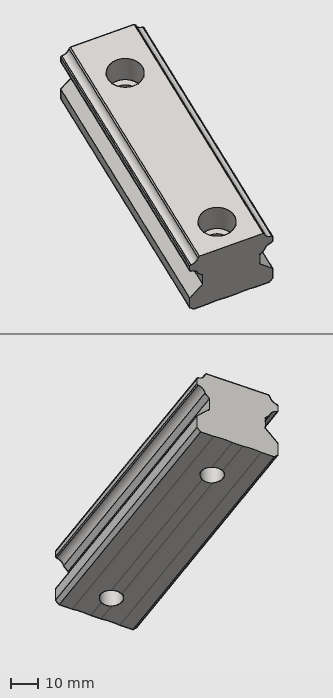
import cadquery as cq

length = 112.4
width = 34.0
height = 29.0

half_width = width / 2
neck_half_width = 11.7
neck_bottom = 12.4
shoulder_drop = half_width - neck_half_width
base_chamfer = 1.6

groove_inner_y = 13.6
groove_depth = 0.7
top_chamfer = 0.6
lip_half_height = 1.3
lip_chamfer = 0.5
lip_z = 23.9
groove_outer_y = half_width - lip_chamfer
groove_outer_offset = lip_half_height + lip_chamfer
groove_inner_offset = height - top_chamfer - lip_z
neck_top = lip_z - groove_inner_offset - (groove_inner_y - neck_half_width)

hollow_centre_y = 6.1
hollow_width = 7.8
hollow_depth = 0.27

end_to_first_hole = 20.0
hole_spacing = 80.0
hole_diameter = 9.0
counterbore_diameter = 14.0
counterbore_depth = 12.0


def groove_point(side, inner):
    """End of the groove above (side = 1) or below (side = -1) the lip."""
    y = groove_inner_y if inner else groove_outer_y
    offset = groove_inner_offset if inner else groove_outer_offset
    return (y, lip_z + side * offset)


def draw_groove(outline, start, end):
    """Arc hollowed towards the left of the direction of travel."""
    dy = end[0] - start[0]
    dz = end[1] - start[1]
    chord = (dy**2 + dz**2) ** 0.5
    middle = (
        (start[0] + end[0]) / 2 - dz / chord * groove_depth,
        (start[1] + end[1]) / 2 + dy / chord * groove_depth,
    )
    return outline.threePointArc(middle, end)


def half_profile():
    """Half cross-section in the YZ plane, drawn from the base centre upwards."""
    hollow_inner = hollow_centre_y - hollow_width / 2
    hollow_outer = hollow_centre_y + hollow_width / 2
    outline = (
        cq.Workplane("YZ", origin=(-length / 2, 0, 0))
        .moveTo(0, 0)
        .lineTo(hollow_inner, 0)
        .threePointArc((hollow_centre_y, hollow_depth), (hollow_outer, 0))
        .lineTo(half_width - base_chamfer, 0)
        .lineTo(half_width, base_chamfer)
        .lineTo(half_width, neck_bottom - shoulder_drop)
        .lineTo(neck_half_width, neck_bottom)
        .lineTo(neck_half_width, neck_top)
        .lineTo(*groove_point(-1, inner=True))
    )
    outline = draw_groove(outline, groove_point(-1, inner=True), groove_point(-1, inner=False))
    outline = (
        outline
        .lineTo(half_width, lip_z - lip_half_height)
        .lineTo(half_width, lip_z + lip_half_height)
        .lineTo(*groove_point(1, inner=False))
    )
    outline = draw_groove(outline, groove_point(1, inner=False), groove_point(1, inner=True))
    return (
        outline
        .lineTo(groove_inner_y - top_chamfer, height)
        .lineTo(0, height)
        .close()
    )


half_rail = half_profile().extrude(length)
rail = half_rail.union(half_rail.mirror("XZ")).clean()

first_hole_x = -length / 2 + end_to_first_hole

result = (
    rail.faces(">Z")
    .workplane(origin=(0, 0, height))
    .pushPoints([(first_hole_x, 0), (first_hole_x + hole_spacing, 0)])
    .cboreHole(hole_diameter, counterbore_diameter, counterbore_depth)
)